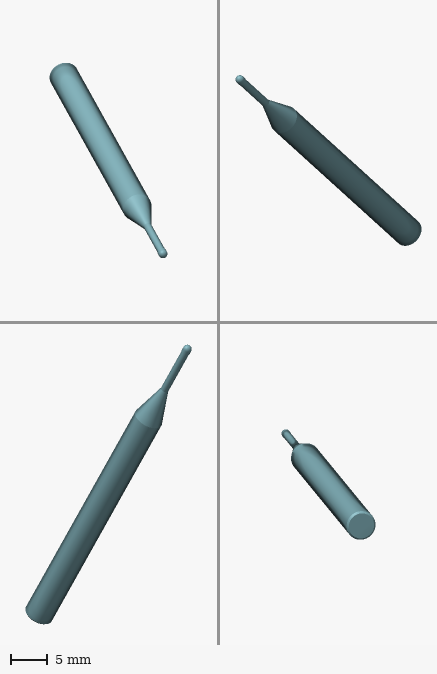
import cadquery as cq
import math

total_length = 50.0
shank_radius = 2.0
shank_chamfer = 0.25
tip_radius = 0.6
neck_radius = 0.55
head_length = 1.2
slim_length = 8.1
taper_length = 5.3

shank_start = -total_length / 2
tip_end = total_length / 2
ball_centre = tip_end - tip_radius
head_start = tip_end - head_length
neck_start = tip_end - slim_length
taper_start = neck_start - taper_length

ball_offset = tip_radius * math.sqrt(0.5)

half_profile = (
    cq.Workplane("XY")
    .moveTo(shank_start, 0)
    .lineTo(shank_start, shank_radius - shank_chamfer)
    .lineTo(shank_start + shank_chamfer, shank_radius)
    .lineTo(taper_start, shank_radius)
    .lineTo(neck_start, neck_radius)
    .lineTo(head_start, neck_radius)
    .lineTo(head_start, tip_radius)
    .lineTo(ball_centre, tip_radius)
    .threePointArc((ball_centre + ball_offset, ball_offset), (tip_end, 0))
    .close()
)

result = half_profile.revolve(360, (0, 0, 0), (1, 0, 0))